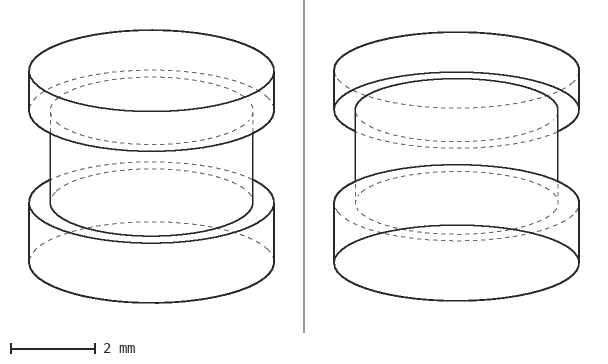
import cadquery as cq

flange_diameter = 5.8
neck_diameter = 4.8
total_height = 4.8
bottom_flange_height = 1.5
top_flange_height = 1.0

neck_height = total_height - bottom_flange_height - top_flange_height


def add_disc(body, diameter, height):
    """Stack a coaxial disc on the top face of the body."""
    return body.faces(">Z").workplane().circle(diameter / 2).extrude(height)


bottom_flange = cq.Workplane("XY").circle(flange_diameter / 2).extrude(bottom_flange_height)
flange_with_neck = add_disc(bottom_flange, neck_diameter, neck_height)
result = add_disc(flange_with_neck, flange_diameter, top_flange_height)